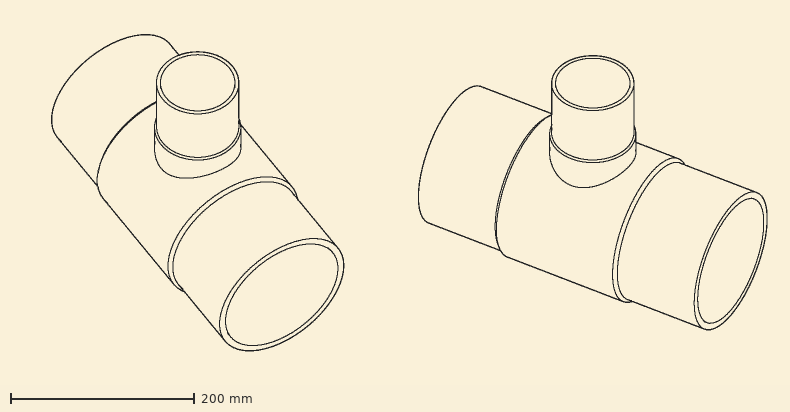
import cadquery as cq

run_length = 348.0
run_diameter = 160.0
run_bore = 144.8

sleeve_length = 154.0
sleeve_diameter = 167.7
sleeve_chamfer = (sleeve_diameter - run_diameter) / 2

overall_height = 267.0
branch_diameter = 90.0
branch_bore = 81.5
branch_top = overall_height - sleeve_diameter / 2

collar_diameter = 94.3
collar_chamfer = (collar_diameter - branch_diameter) / 2
branch_exposed_length = 72.5
collar_top = branch_top - branch_exposed_length


def x_cylinder(diameter, length):
    """Cylinder along X, centred on the origin."""
    return cq.Workplane("YZ", origin=(-length / 2, 0, 0)).circle(diameter / 2).extrude(length)


def z_cylinder(diameter, height):
    """Cylinder rising along Z from the axis of the main pipe."""
    return cq.Workplane("XY").circle(diameter / 2).extrude(height)


run = x_cylinder(run_diameter, run_length)
sleeve = x_cylinder(sleeve_diameter, sleeve_length).faces("<X or >X").chamfer(sleeve_chamfer)
branch = z_cylinder(branch_diameter, branch_top)
collar = z_cylinder(collar_diameter, collar_top).faces(">Z").chamfer(collar_chamfer)
body = run.union(sleeve).union(branch).union(collar)

result = body.cut(x_cylinder(run_bore, run_length)).cut(z_cylinder(branch_bore, branch_top))